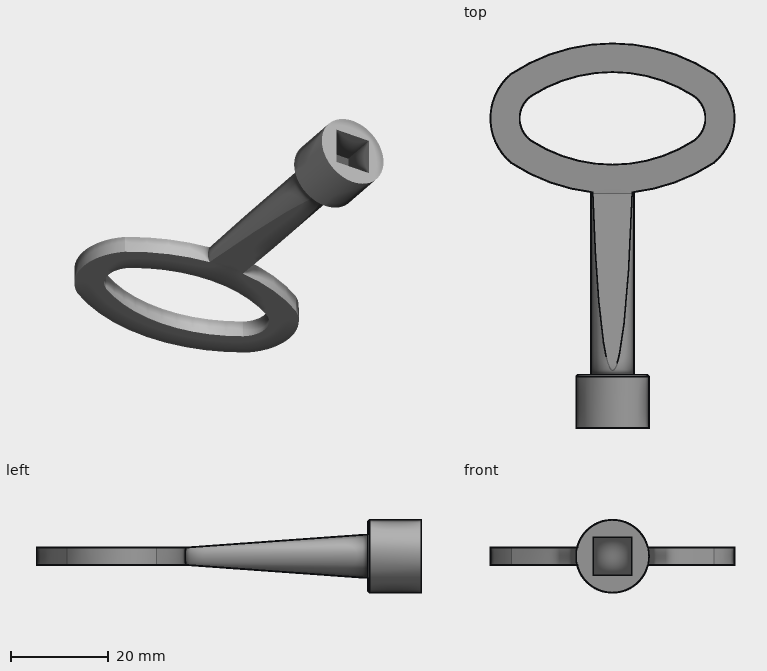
import cadquery as cq

total_length = 78.8
head_diameter = 15
head_length = 10.95
head_chamfer = 0.4
socket_side = 7.9
socket_depth = 7.9

handle_thickness = 3.6
outer_half_width = 50.0 / 2
outer_half_height = 15.4
outer_corner = (20.7, 9.15)
inner_half_width = 19.0
inner_half_height = 9.45
inner_corner = (16.6, 4.6)
handle_center_y = total_length - outer_half_height
handle_base_y = handle_center_y - outer_half_height

shank_diameter = 8.8
taper_start_y = 11.9
handle_overlap = 0.8


def oval(half_width, half_height, corner):
    """Oval prism made of four arcs that meet at the mirrored corner points."""
    x, y = corner
    return (
        cq.Workplane("XY")
        .moveTo(x, y)
        .threePointArc((0, half_height), (-x, y))
        .threePointArc((-half_width, 0), (-x, -y))
        .threePointArc((0, -half_height), (x, -y))
        .threePointArc((half_width, 0), (x, y))
        .close()
        .extrude(handle_thickness / 2, both=True)
        .translate((0, handle_center_y, 0))
    )


def make_handle():
    outer = oval(outer_half_width, outer_half_height, outer_corner)
    opening = oval(inner_half_width, inner_half_height, inner_corner)
    return outer.cut(opening)


def make_shank():
    shank_radius = shank_diameter / 2
    half_thickness = handle_thickness / 2
    shank_end_y = handle_base_y + handle_overlap
    rod = (
        cq.Workplane("XZ", origin=(0, head_length, 0))
        .circle(shank_radius)
        .extrude(head_length - shank_end_y)
    )
    taper = (
        cq.Workplane("YZ")
        .polyline([
            (head_length, -shank_radius),
            (taper_start_y, -shank_radius),
            (handle_base_y, -half_thickness),
            (shank_end_y, -half_thickness),
            (shank_end_y, half_thickness),
            (handle_base_y, half_thickness),
            (taper_start_y, shank_radius),
            (head_length, shank_radius),
        ])
        .close()
        .extrude(shank_diameter, both=True)
    )
    return rod.intersect(taper)


def make_head():
    collar = (
        cq.Workplane("XZ")
        .circle(head_diameter / 2)
        .extrude(-head_length)
        .faces(">Y")
        .chamfer(head_chamfer)
    )
    socket = cq.Workplane("XZ").rect(socket_side, socket_side).extrude(-socket_depth)
    return collar.cut(socket)


result = make_head().union(make_shank()).union(make_handle())